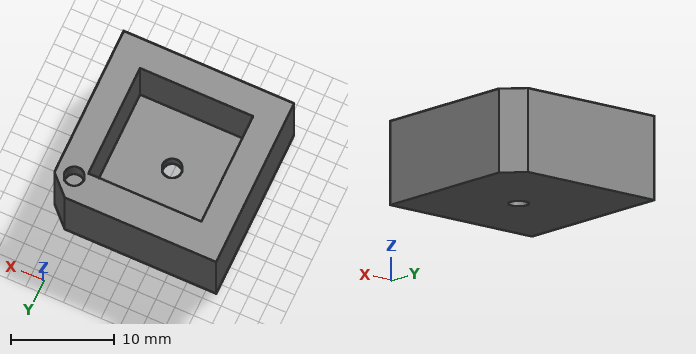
import cadquery as cq

block_side = 18.1
block_height = 8.4
corner_chamfer = 2.0

pocket_side = 12.0
pocket_depth = 7.0
pocket_center_y = -0.18

hole_diameter = 2.0
through_hole_y = -0.52
marker_hole_x = 7.13
marker_hole_y = 6.66
marker_hole_depth = 2.0


def make_block():
    """Block with its (+X, +Y) vertical edge chamfered."""
    block = cq.Workplane("XY").rect(block_side, block_side).extrude(block_height)
    return block.edges("|Z and >(1, 1, 0)").chamfer(corner_chamfer)


def top_plane(x, y):
    """Workplane on the top face with its origin at (x, y)."""
    return cq.Workplane("XY", origin=(x, y, block_height))


pocket = top_plane(0, pocket_center_y).rect(pocket_side, pocket_side).extrude(-pocket_depth)
through_hole = top_plane(0, through_hole_y).circle(hole_diameter / 2).extrude(-block_height)
marker_hole = top_plane(marker_hole_x, marker_hole_y).circle(hole_diameter / 2).extrude(-marker_hole_depth)

result = make_block().cut(pocket).cut(through_hole).cut(marker_hole)